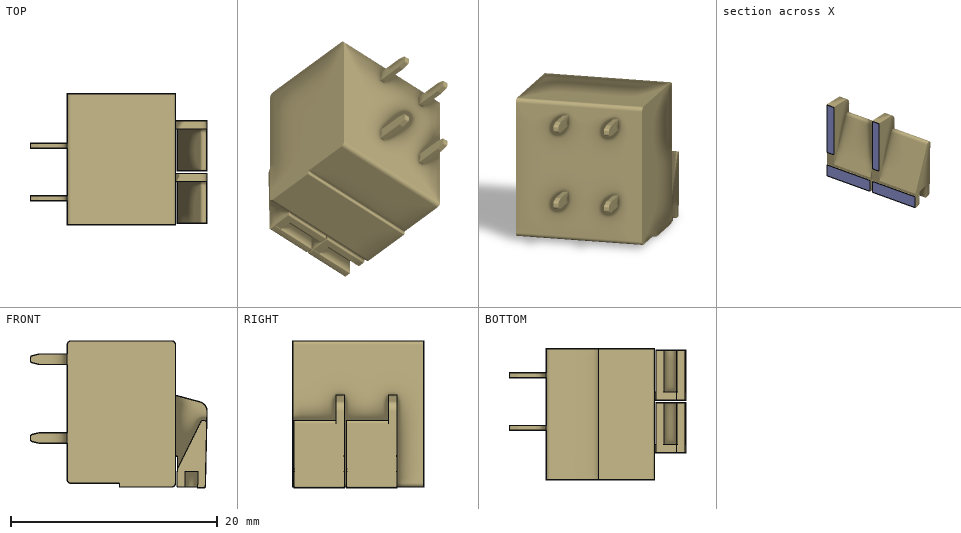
import cadquery as cq


body_length = 10.5
body_width = 12.7
body_height = 14.17
body_corner_radius = 0.4
step_start_x = 5.06
step_height = 0.37
step_corner_radius = 0.12

pole_pitch = 5.08
pole_count = 2

pin_length = 3.55
pin_height = 1.04
pin_thickness = 0.5
pin_taper_length = 0.85
pin_tip_height = 0.62
pin_tip_radius = 0.24
pin_first_y = 2.58
pin_upper_z = 12.38
pin_row_pitch = 7.62

lever_reach = 3.05
lever_start_y = 0.15
lever_width = 4.85
web_thickness = 0.82
wedge_width = lever_width - web_thickness
lever_outer_x = body_length + lever_reach

outer_face_tilt = 0.022
outer_face_widest_z = 7.33

inner_foot_x = body_length + 0.12
inner_foot_top_z = 1.5
outer_foot_drop = 0.06
foot_radius = 0.15
slot_start_x = body_length + 0.93
slot_top_end_x = slot_start_x + 1.26
slot_bottom_end_x = slot_start_x + 1.2
slot_top_z = 1.5
slot_edge_radius = 0.08

relief_x = body_length + 0.18
relief_top_z = 2.95
web_contact_z = 3.05
web_top_z = 8.9
web_slope_start_x = body_length + 0.35
web_slope_start_z = 8.81
web_slope_end_z = 8.07
web_crown_radius = 0.95

wedge_slope_start_z = 1.78
wedge_apex_z = 7.58
wedge_apex_radius = 0.32


def outer_face_x(z):
    """X of the leaning outer lever face at height z."""
    return lever_outer_x - outer_face_tilt * (outer_face_widest_z - z)


def prism(points, start_y, width):
    """Closed XZ outline extruded from start_y toward +Y."""
    profile = cq.Workplane("XZ", origin=(0, start_y, 0)).polyline(points).close()
    return profile.extrude(-width)


def round_edge(solid, corner, mid_y, radius):
    """Fillet the Y-parallel edge of solid that passes through the XZ corner."""
    x, z = corner
    edge = cq.selectors.NearestToPointSelector((x, mid_y, z))
    return solid.edges("|Y").edges(edge).fillet(radius)


def make_housing():
    outline = [
        (0, step_height),
        (step_start_x, step_height),
        (step_start_x, 0),
        (body_length, 0),
        (body_length, body_height),
        (0, body_height),
    ]
    housing = prism(outline, 0, body_width)
    housing = housing.edges("|Y and (<X or >X)").fillet(body_corner_radius)
    return round_edge(housing, (step_start_x, 0), body_width / 2, step_corner_radius)


def make_pin(center_y, center_z):
    taper_x = pin_taper_length - pin_length
    half_height = pin_height / 2
    half_tip = pin_tip_height / 2
    outline = [
        (0, center_z - half_height),
        (0, center_z + half_height),
        (taper_x, center_z + half_height),
        (-pin_length, center_z + half_tip),
        (-pin_length, center_z - half_tip),
        (taper_x, center_z - half_height),
    ]
    pin = prism(outline, center_y - pin_thickness / 2, pin_thickness)
    return pin.edges("|Y and <X").fillet(pin_tip_radius)


def make_web(start_y):
    crown = (outer_face_x(web_slope_end_z), web_slope_end_z)
    inner_foot = (inner_foot_x, 0)
    outer_foot = (outer_face_x(-outer_foot_drop), -outer_foot_drop)
    outline = [
        (body_length, web_contact_z),
        (body_length, web_top_z),
        (web_slope_start_x, web_slope_start_z),
        crown,
        outer_foot,
        (slot_bottom_end_x, -outer_foot_drop),
        (slot_bottom_end_x, 0),
        inner_foot,
        (inner_foot_x, inner_foot_top_z),
        (relief_x, inner_foot_top_z),
        (relief_x, relief_top_z),
    ]
    web = prism(outline, start_y, web_thickness)
    mid_y = start_y + web_thickness / 2
    web = round_edge(web, crown, mid_y, web_crown_radius)
    for corner in (inner_foot, outer_foot):
        web = round_edge(web, corner, mid_y, foot_radius)
    return web


def make_wedge(start_y):
    apex = (outer_face_x(wedge_apex_z), wedge_apex_z)
    inner_foot = (inner_foot_x, 0)
    outer_foot = (outer_face_x(-outer_foot_drop), -outer_foot_drop)
    slot_inner_edge = (slot_start_x, 0)
    slot_outer_edge = (slot_bottom_end_x, -outer_foot_drop)
    outline = [
        inner_foot,
        (inner_foot_x, inner_foot_top_z),
        (relief_x, inner_foot_top_z),
        (relief_x, wedge_slope_start_z),
        apex,
        outer_foot,
        slot_outer_edge,
        (slot_top_end_x, slot_top_z),
        (slot_start_x, slot_top_z),
        slot_inner_edge,
    ]
    wedge = prism(outline, start_y, wedge_width)
    mid_y = start_y + wedge_width / 2
    wedge = round_edge(wedge, apex, mid_y, wedge_apex_radius)
    for corner in (inner_foot, outer_foot):
        wedge = round_edge(wedge, corner, mid_y, foot_radius)
    for corner in (slot_inner_edge, slot_outer_edge):
        wedge = round_edge(wedge, corner, mid_y, slot_edge_radius)
    return wedge


result = make_housing()
for pole in range(pole_count):
    pole_offset = pole * pole_pitch
    pin_y = pin_first_y + pole_offset
    wedge_y = lever_start_y + pole_offset
    result = result.union(make_pin(pin_y, pin_upper_z))
    result = result.union(make_pin(pin_y, pin_upper_z - pin_row_pitch))
    result = result.union(make_web(wedge_y + wedge_width))
    result = result.union(make_wedge(wedge_y))